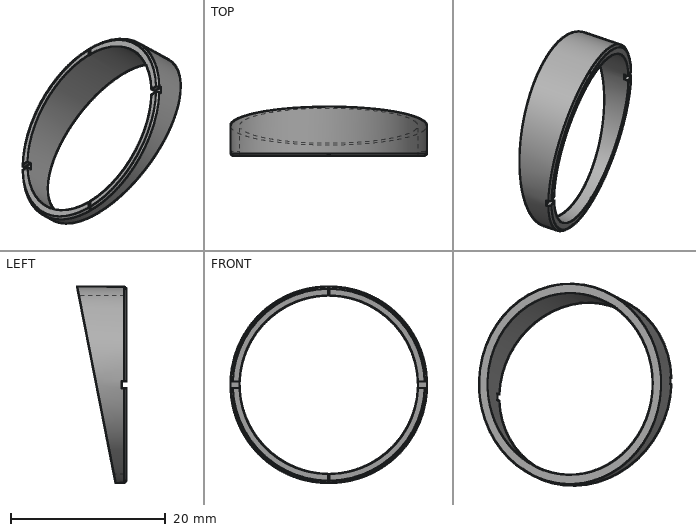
import cadquery as cq

outer_diameter = 25.4
inner_diameter = 23.0
chamfer = 0.3

top_width = 6.4
bottom_width = 1.42

notch_width = 0.86
notch_depth = 0.6
mark_width = 0.23
mark_depth = 0.09

outer_radius = outer_diameter / 2


def make_wedge_ring():
    """Chamfered tube trimmed to a wedge-shaped side profile."""
    cylinder = cq.Workplane("XZ").circle(outer_radius).extrude(-top_width)
    cylinder = cylinder.faces("<Y").chamfer(chamfer)
    bore = cq.Workplane("XZ").circle(inner_diameter / 2).extrude(-top_width)
    side_profile = [
        (0, -outer_radius),
        (bottom_width, -outer_radius),
        (top_width, outer_radius),
        (0, outer_radius),
    ]
    wedge = (
        cq.Workplane("YZ")
        .polyline(side_profile)
        .close()
        .extrude(outer_radius, both=True)
    )
    return cylinder.cut(bore).intersect(wedge)


def front_groove(size_x, depth, size_z):
    """Box across the whole ring, sunk into the front face."""
    return cq.Workplane("XY").box(size_x, depth, size_z, centered=(True, False, True))


notches = front_groove(outer_diameter, notch_depth, notch_width)

marks = front_groove(mark_width, mark_depth, outer_diameter)

result = make_wedge_ring().cut(notches).cut(marks)